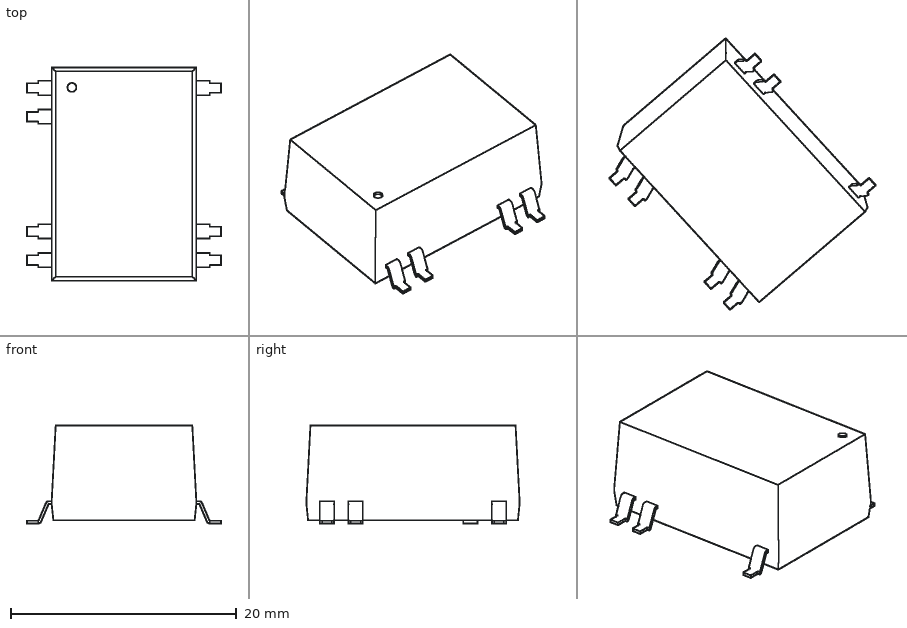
import cadquery as cq
import math

body_x = 12.83
body_y = 18.9
total_height = 8.7
body_bottom = 0.28
band_top = 1.97
band_thickness = 0.2
band_bottom = band_top - band_thickness
top_inset = 0.35
bottom_inset = 0.15

mark_diameter = 0.8
mark_depth = 0.25
mark_x = -4.61
mark_y = 7.67

lead_span = 17.22
lead_width = 1.29
lead_thickness = 0.26
lead_top = 2.0
foot_width = 0.87
lead_slope = 67.0
shoulder_length = 0.23
bend_inner_radius = 0.04
bend_outer_radius = bend_inner_radius + lead_thickness
lead_embed = 0.57

pin_pitch = 2.54
left_pin_rows = (-3, -2, 2, 3)
right_pin_rows = (-3, -2, 3)


def frustum(base_z, base_inset, end_z, end_inset):
    """Rectangular block between two heights, each end inset from the band outline."""
    return (
        cq.Workplane("XY", origin=(0, 0, base_z))
        .rect(body_x - 2 * base_inset, body_y - 2 * base_inset)
        .workplane(offset=end_z - base_z)
        .rect(body_x - 2 * end_inset, body_y - 2 * end_inset)
        .loft()
    )


def make_body():
    """Drafted body with the pin-one mark cut into its top face."""
    lower = frustum(body_bottom, bottom_inset, band_bottom, 0)
    band = frustum(band_bottom, 0, band_top, 0)
    upper = frustum(band_top, 0, total_height, top_inset)
    mark = (
        cq.Workplane("XY", origin=(mark_x, mark_y, total_height - mark_depth))
        .circle(mark_diameter / 2)
        .extrude(mark_depth)
    )
    return lower.union(band).union(upper).cut(mark)


def make_right_lead(y):
    """Lead leaving the +X side: embedded tail, shoulder, slope, lower bend and narrow foot."""
    slope = math.radians(lead_slope)
    sin_slope = math.sin(slope)
    cos_slope = math.cos(slope)
    half = slope / 2

    tail_x = body_x / 2 - lead_embed
    upper_x = body_x / 2 + shoulder_length
    tip_x = lead_span / 2
    upper_z = lead_top - bend_outer_radius
    lower_z = bend_outer_radius
    bend_sum = bend_inner_radius + bend_outer_radius
    slope_drop = upper_z - lower_z + bend_sum * cos_slope
    lower_x = upper_x + bend_sum * sin_slope + slope_drop * cos_slope / sin_slope
    foot_length = tip_x - lower_x

    def upper_bend(radius, angle):
        return (upper_x + radius * math.sin(angle), upper_z + radius * math.cos(angle))

    def lower_bend(radius, angle):
        return (lower_x - radius * math.sin(angle), lower_z - radius * math.cos(angle))

    strip = (
        cq.Workplane("XZ", origin=(0, y + lead_width / 2, 0))
        .moveTo(tail_x, lead_top)
        .lineTo(upper_x, lead_top)
        .threePointArc(upper_bend(bend_outer_radius, half), upper_bend(bend_outer_radius, slope))
        .lineTo(*lower_bend(bend_inner_radius, slope))
        .threePointArc(lower_bend(bend_inner_radius, half), lower_bend(bend_inner_radius, 0))
        .lineTo(lower_x, 0)
        .threePointArc(lower_bend(bend_outer_radius, half), lower_bend(bend_outer_radius, slope))
        .lineTo(*upper_bend(bend_inner_radius, slope))
        .threePointArc(upper_bend(bend_inner_radius, half), upper_bend(bend_inner_radius, 0))
        .lineTo(tail_x, lead_top - lead_thickness)
        .close()
        .extrude(lead_width)
    )
    foot = (
        cq.Workplane("XY", origin=(lower_x, y, 0))
        .box(foot_length, foot_width, lead_thickness, centered=(False, True, False))
    )
    return strip.union(foot)


def make_left_lead(y):
    """Mirror image of a +X lead, leaving the -X side."""
    return make_right_lead(y).mirror("YZ")


result = make_body()
for row in right_pin_rows:
    result = result.union(make_right_lead(row * pin_pitch))
for row in left_pin_rows:
    result = result.union(make_left_lead(row * pin_pitch))